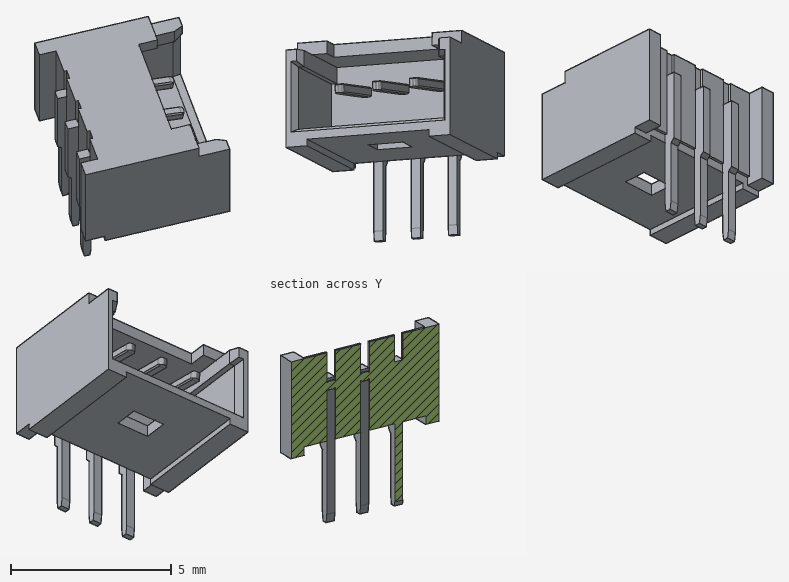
import cadquery as cq


width = 5.5
length = 4.7
top_z = 5.8
foot_z = 2.29
arm_z = 2.5
half_width = width / 2

arm_thickness = 0.5
arm_length = 0.545
foot_width = 0.71
rear_step_y = 0.64
rear_step_z = 2.79

ceiling_thickness = 0.405
ceiling_z = top_z - ceiling_thickness
floor_z = arm_z + ceiling_thickness
cavity_half_width = half_width - arm_thickness
cavity_rear_y = 1.565
side_wall_thin = 0.315
side_groove_half_width = half_width - side_wall_thin
side_groove_top_z = 4.88
flare = 0.14
flare_length = 0.295

roof_end_y = 3.7
roof_notch_y = 3.09
roof_notch_width = 3.525
window_width = 1.16
window_front_y = 3.19
window_length = 0.81

pin_pitch = 1.25
pin_width = 0.31
pin_count = 3
pin_positions = [(i - (pin_count - 1) / 2) * pin_pitch for i in range(pin_count)]
pin_top_z = 4.905
pin_rear_y = 0.205
pin_front_y = 0.59
contact_drop = 0.085
contact_length = 3.475
contact_tilt = 8.0
first_pin_shift = rear_step_y - pin_front_y
lead_rear_y = 0.33
shoulder_top_z = 2.53
shoulder_bottom_z = 2.395
lead_taper_height = 0.3
lead_taper = 0.04
contact_chamfer = 0.045
contact_tip_radius = 0.14
contact_tip_length = 0.12
contact_tip_slope = 0.035


def box(x_min, x_max, y_min, y_max, z_min, z_max):
    size = (x_max - x_min, y_max - y_min, z_max - z_min)
    return cq.Workplane("XY").box(*size, centered=False).translate((x_min, y_min, z_min))


def centred_box(box_width, y_min, y_max, z_min, z_max):
    return box(-box_width / 2, box_width / 2, y_min, y_max, z_min, z_max)


def flared_box(half, z_min, z_max):
    """Pocket open to +Y whose last stretch widens toward the mouth."""
    throat_y = length - flare_length
    pocket = centred_box(2 * half, cavity_rear_y, throat_y, z_min, z_max)
    mouth = (
        cq.Workplane("XZ", origin=(0, throat_y, (z_min + z_max) / 2))
        .rect(2 * half, z_max - z_min)
        .workplane(offset=-flare_length)
        .rect(2 * (half + flare), z_max - z_min + 2 * flare)
        .loft(ruled=True)
    )
    return pocket.union(mouth)


def make_shell():
    shell = centred_box(width, 0, length, foot_z, top_z)
    shell = shell.cut(centred_box(2 * cavity_half_width, 0, arm_length, foot_z, top_z))
    shell = shell.cut(centred_box(2 * cavity_half_width, 0, rear_step_y, foot_z, rear_step_z))
    shell = shell.cut(centred_box(width, 0, rear_step_y, foot_z, arm_z))
    shell = shell.cut(centred_box(width - 2 * foot_width, 0, length, foot_z, arm_z))
    shell = shell.cut(centred_box(width, roof_end_y, length, ceiling_z, top_z))
    return shell.cut(centred_box(roof_notch_width, roof_notch_y, length, ceiling_z, top_z))


def make_housing():
    housing = make_shell()
    housing = housing.cut(flared_box(cavity_half_width, floor_z, ceiling_z))
    housing = housing.cut(flared_box(side_groove_half_width, floor_z, side_groove_top_z))
    window_rear_y = window_front_y - window_length
    housing = housing.cut(centred_box(window_width, window_rear_y, window_front_y, foot_z, floor_z))
    for x in pin_positions:
        groove = centred_box(pin_width, 0, rear_step_y, arm_z, top_z)
        housing = housing.cut(groove.translate((x, 0, 0)))
    return housing


def make_pin():
    """L-shaped pin: a sloping contact and a vertical lead with a pointed end."""
    lead = (
        cq.Workplane("YZ", origin=(-pin_width / 2, 0, 0))
        .moveTo(pin_rear_y, pin_top_z)
        .lineTo(pin_rear_y, shoulder_top_z)
        .lineTo(lead_rear_y, shoulder_bottom_z)
        .lineTo(lead_rear_y, lead_taper_height)
        .lineTo(lead_rear_y + lead_taper, 0)
        .lineTo(pin_front_y - lead_taper, 0)
        .lineTo(pin_front_y, lead_taper_height)
        .lineTo(pin_front_y, pin_top_z)
        .close()
        .extrude(pin_width)
    )
    return lead.union(make_contact())


def make_contact():
    """Square bar sloping down from the lead, with chamfered edges and a rounded tip."""
    contact_top_z = pin_top_z - contact_drop
    bottom_z = contact_top_z - pin_width
    tip_y = pin_front_y + contact_length
    slope_start_y = tip_y - contact_tip_length
    tip_shape = (
        cq.Workplane("YZ", origin=(-pin_width / 2, 0, 0))
        .moveTo(pin_front_y, bottom_z)
        .lineTo(slope_start_y, bottom_z)
        .lineTo(tip_y, bottom_z + contact_tip_slope)
        .lineTo(tip_y, contact_top_z - contact_tip_slope)
        .lineTo(slope_start_y, contact_top_z)
        .lineTo(pin_front_y, contact_top_z)
        .close()
        .extrude(pin_width)
        .edges(">Y and |Z")
        .fillet(contact_tip_radius)
    )
    bar = centred_box(pin_width, pin_front_y, tip_y, bottom_z, contact_top_z)
    bar = bar.edges("|Y").chamfer(contact_chamfer)
    pivot = (0, pin_front_y, contact_top_z)
    pivot_axis_end = (1, pin_front_y, contact_top_z)
    return bar.intersect(tip_shape).rotate(pivot, pivot_axis_end, -contact_tilt)


result = make_housing()
for i, x in enumerate(pin_positions):
    shift = first_pin_shift if i == 0 else 0
    result = result.union(make_pin().translate((x, shift, 0)))